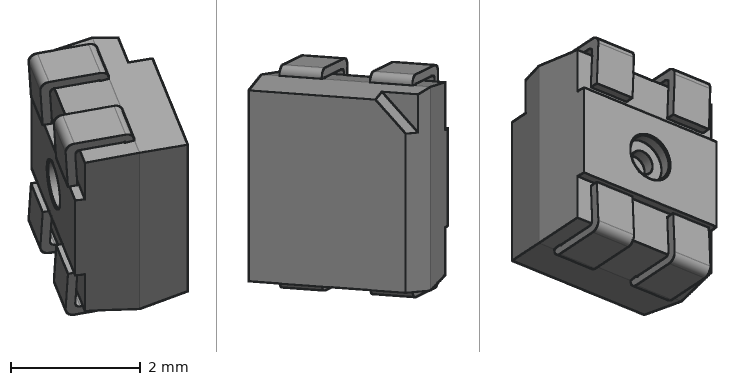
import cadquery as cq
import math

body_width = 2.8
body_height = 3.2
taper_inset = 0.1
back_depth = 0.8
front_depth = 1.0

pad_height = 1.535
step_depth = 0.15

bore_diameter = 0.75
bore_depth = 0.2
bore_chamfer = 0.02
pin_hole_diameter = 0.4
pin_hole_depth = 0.4

notch_leg = 0.5
notch_depth = 0.4

lead_width = 0.7
lead_thickness = 0.15
lead_spacing = 1.5
lead_front = -1.1
lead_tip_z = 0.89
lead_tilt = math.radians(3)
outer_bend_radius = 0.14
inner_bend_radius = 0.08
root_length = 0.3


def tapered_half(y_end):
    """Frustum from the parting plane to the smaller face at y_end."""
    return (
        cq.Workplane("XZ")
        .rect(body_width, body_height)
        .workplane(offset=-y_end)
        .rect(body_width - 2 * taper_inset, body_height - 2 * taper_inset)
        .loft(ruled=True)
    )


def step_cut(side):
    """Block that lowers the front face above (+1) or below (-1) the pad."""
    cut_height = (body_height - pad_height) / 2
    center_z = side * (pad_height + cut_height) / 2
    return (
        cq.Workplane("XZ", origin=(0, step_depth - front_depth, center_z))
        .rect(body_width, cut_height)
        .extrude(step_depth)
    )


def cut_stepped_hole(body):
    """Bore with a smaller hole in its floor and a chamfered rim, centred on the pad."""
    pad_face = cq.Workplane("XZ", origin=(0, -front_depth, 0))
    bore = pad_face.circle(bore_diameter / 2).extrude(-bore_depth)
    pin_hole = pad_face.circle(pin_hole_diameter / 2).extrude(-pin_hole_depth)
    drilled = body.cut(bore).cut(pin_hole)
    return drilled.faces("<Y").edges("%CIRCLE").chamfer(bore_chamfer)


def corner_notch():
    """Triangular prism that cuts the -X +Z corner of the back half at 45 degrees."""
    corner_x = -body_width / 2
    corner_z = body_height / 2
    leg = notch_leg + 2 * taper_inset
    return (
        cq.Workplane("XZ", origin=(0, back_depth, 0))
        .moveTo(corner_x, corner_z)
        .lineTo(corner_x + leg, corner_z)
        .lineTo(corner_x, corner_z - leg)
        .close()
        .extrude(notch_depth)
    )


def upper_lead(center_x):
    """Lead that leaves the top of the body, runs forward and folds down over the front."""
    inner_z = body_height / 2
    outer_z = inner_z + lead_thickness
    root_z = inner_z - root_length
    slope = math.tan(lead_tilt)

    tangent_length = outer_bend_radius * math.tan((math.pi / 2 + lead_tilt) / 2)
    outer_corner_y = lead_front + outer_bend_radius - tangent_length
    inner_corner_y = outer_corner_y + lead_thickness * (slope + 1 / math.cos(lead_tilt))
    outer_tip_y = outer_corner_y + (outer_z - lead_tip_z) * slope
    inner_tip_y = inner_corner_y + (inner_z - lead_tip_z) * slope

    lead = (
        cq.Workplane("YZ", origin=(center_x - lead_width / 2, 0, 0))
        .moveTo(0, root_z)
        .lineTo(0, outer_z)
        .lineTo(outer_corner_y, outer_z)
        .lineTo(outer_tip_y, lead_tip_z)
        .lineTo(inner_tip_y, lead_tip_z)
        .lineTo(inner_corner_y, inner_z)
        .lineTo(-lead_thickness, inner_z)
        .lineTo(-lead_thickness, root_z)
        .close()
        .extrude(lead_width)
    )
    lead = lead.edges("|X").edges(">Z").fillet(outer_bend_radius)
    inner_corner = cq.selectors.NearestToPointSelector((center_x, inner_corner_y, inner_z))
    return lead.edges("|X").edges(inner_corner).fillet(inner_bend_radius)


result = tapered_half(back_depth).union(tapered_half(-front_depth))
for side in (1, -1):
    result = result.cut(step_cut(side))
result = cut_stepped_hole(result)
result = result.cut(corner_notch())

for side in (1, -1):
    lead = upper_lead(side * lead_spacing / 2)
    result = result.union(lead).union(lead.mirror("XY"))